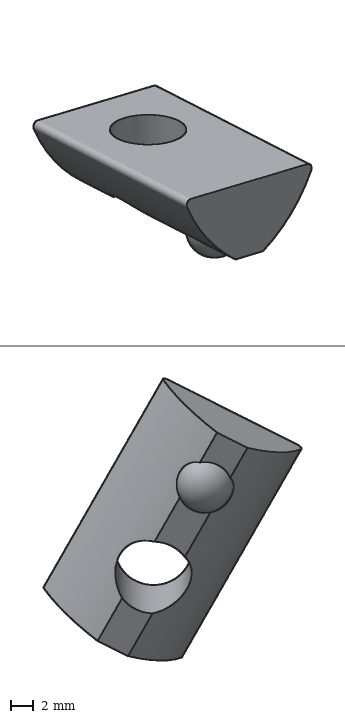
import cadquery as cq
import math


length = 22.0
width = 13.69
thickness = 7.0
bottom_width = 3.0
edge_radius = 0.5
flank_radius = 15.0

hole_diameter = 6.65
hole_x = 7.5

ball_diameter = 5.0
ball_x = 17.0
overall_height = 8.7


def point_on_circle(center, radius, angle):
    """Point at the given angle (radians) on a circle in the Y-Z plane."""
    return (center[0] + radius * math.cos(angle), center[1] + radius * math.sin(angle))


def mirrored(point):
    """Same point on the other side of the bar's middle plane."""
    return (-point[0], point[1])


def make_bar():
    """Bar whose flank arcs run tangent into the rounded top edges."""
    edge_center = (width / 2 - edge_radius, -edge_radius)
    bottom_corner = (bottom_width / 2, -thickness)

    center_offset = flank_radius - edge_radius
    rise_y = edge_center[0] - bottom_corner[0]
    rise_z = edge_center[1] - bottom_corner[1]
    span = math.hypot(rise_y, rise_z)
    corner_cosine = (flank_radius**2 + span**2 - center_offset**2) / (2 * flank_radius * span)
    center_direction = math.atan2(rise_z, rise_y) + math.acos(corner_cosine)
    flank_center = point_on_circle(bottom_corner, flank_radius, center_direction)

    tangent_angle = math.atan2(edge_center[1] - flank_center[1], edge_center[0] - flank_center[0])
    bottom_angle = math.atan2(bottom_corner[1] - flank_center[1], bottom_corner[0] - flank_center[0])
    top_angle = math.pi / 2

    top_corner = (edge_center[0], 0)
    edge_middle = point_on_circle(edge_center, edge_radius, (top_angle + tangent_angle) / 2)
    tangent_point = point_on_circle(edge_center, edge_radius, tangent_angle)
    flank_middle = point_on_circle(flank_center, flank_radius, (tangent_angle + bottom_angle) / 2)

    return (
        cq.Workplane("YZ")
        .moveTo(*mirrored(top_corner))
        .lineTo(*top_corner)
        .threePointArc(edge_middle, tangent_point)
        .threePointArc(flank_middle, bottom_corner)
        .lineTo(*mirrored(bottom_corner))
        .threePointArc(mirrored(flank_middle), mirrored(tangent_point))
        .threePointArc(mirrored(edge_middle), mirrored(top_corner))
        .close()
        .extrude(length)
    )


def make_hole():
    """Cutter for the vertical through hole."""
    return cq.Workplane("XY").center(hole_x, 0).circle(hole_diameter / 2).extrude(-thickness)


def make_ball():
    """Ball whose lowest point sets the overall height."""
    ball_radius = ball_diameter / 2
    ball_z = ball_radius - overall_height
    return cq.Workplane("XY").sphere(ball_radius).translate((ball_x, 0, ball_z))


result = make_bar().cut(make_hole()).union(make_ball())